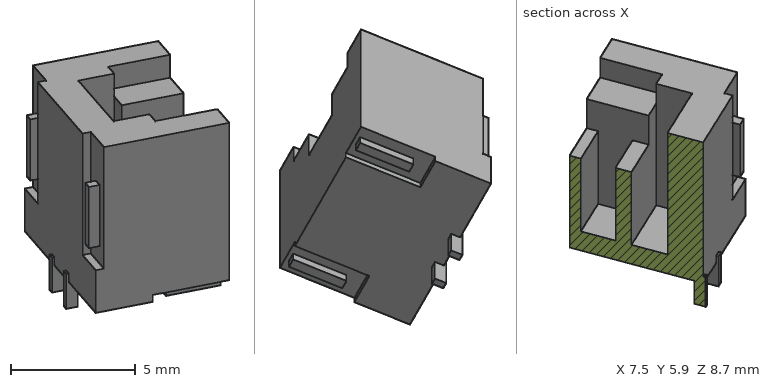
import cadquery as cq

total_height = 8.7
width = 7.5
depth = 5.79
base_z = 1.22
front_proud = 0.105

mouth_width = 4.98
mouth_depth = 2.69
inner_width = 3.72
inner_depth = 4.245
cavity_floor_z = 2.26

block_gap = 2.12
block_top_z = total_height - 1.04
sill_top_z = total_height - 2.58
rear_sill_depth = 0.5
front_sill_depth = 0.7

notch_width = 1.39
notch_depth = 0.36
notch_bottom_z = 3.17
tab_width = 0.39
tab_offset = 3.1
tab_bottom_z = 3.97
tab_height = 2.78

recess_length = 3.315
recess_height = 0.31
foot_length = 2.375
foot_setback = 0.18
foot_drop = 0.11

pin_offset = 0.75
pin_width = 0.28
pin_thickness = 0.505
pin_height = 1.6


def box(center_x, size_x, y_min, y_max, z_min, z_max):
    """Box centred at center_x and spanning the given Y and Z ranges."""
    return (
        cq.Workplane("XY")
        .box(size_x, y_max - y_min, z_max - z_min, centered=(True, False, False))
        .translate((center_x, y_min, z_min))
    )


def make_housing():
    mouth_y = depth - mouth_depth
    housing = box(0, width, 0, depth, base_z, total_height)
    mouth = box(0, mouth_width, mouth_y, depth, cavity_floor_z, total_height)
    inner = box(0, inner_width, depth - inner_depth, depth, cavity_floor_z, total_height)
    housing = housing.cut(mouth).cut(inner)

    block_width = (mouth_width - block_gap) / 2
    block_x = (mouth_width - block_width) / 2
    for side in (-1, 1):
        block = box(side * block_x, block_width, mouth_y, depth, cavity_floor_z, block_top_z)
        housing = housing.union(block)

    rear_sill = box(0, block_gap, depth - rear_sill_depth, depth, cavity_floor_z, sill_top_z)
    front_sill = box(0, block_gap, mouth_y, mouth_y + front_sill_depth, cavity_floor_z, sill_top_z)
    return housing.union(rear_sill).union(front_sill)


def cut_corners(housing):
    corner_x = (width - notch_width) / 2
    for side in (-1, 1):
        notch = box(side * corner_x, notch_width, 0, notch_depth, notch_bottom_z, total_height)
        recess = box(
            side * corner_x, notch_width, depth - recess_length, depth, base_z, base_z + recess_height
        )
        housing = housing.cut(notch).cut(recess)
    return housing


def add_tabs_and_pins(housing):
    foot_rear_y = depth - foot_setback
    for side in (-1, 1):
        tab = box(
            side * tab_offset, tab_width, -front_proud, notch_depth, tab_bottom_z, tab_bottom_z + tab_height
        )
        foot = box(
            side * tab_offset,
            tab_width,
            foot_rear_y - foot_length,
            foot_rear_y,
            base_z - foot_drop,
            base_z + recess_height,
        )
        pin = box(side * pin_offset, pin_width, -front_proud, pin_thickness - front_proud, 0, pin_height)
        housing = housing.union(tab).union(foot).union(pin)
    return housing


result = add_tabs_and_pins(cut_corners(make_housing()))